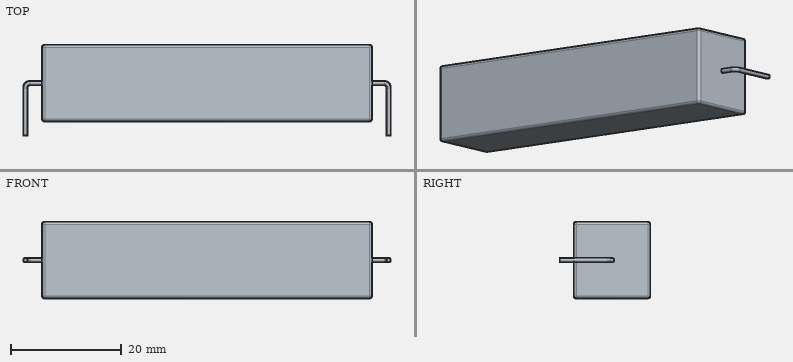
import cadquery as cq

overall_length = 66.85
overall_width = 16.5
body_length = 60.0
body_side = 14.0
edge_radius = 0.5
lead_diameter = 0.8
bend_radius = 0.8

lead_x = (overall_length - lead_diameter) / 2
lead_tip_y = body_side / 2 - overall_width
lead_root_x = body_length / 2 - edge_radius


def make_body():
    """Square bar with all edges rounded."""
    return cq.Workplane("XY").box(body_length, body_side, body_side).edges().fillet(edge_radius)


def make_lead():
    """Round wire leaving the +X end and bending toward -Y."""
    path = (
        cq.Workplane("XY")
        .moveTo(lead_root_x, 0)
        .lineTo(lead_x - bend_radius, 0)
        .tangentArcPoint((lead_x, -bend_radius), relative=False)
        .lineTo(lead_x, lead_tip_y)
    )
    return cq.Workplane("YZ", origin=(lead_root_x, 0, 0)).circle(lead_diameter / 2).sweep(path)


lead = make_lead()
result = make_body().union(lead).union(lead.mirror("YZ"))